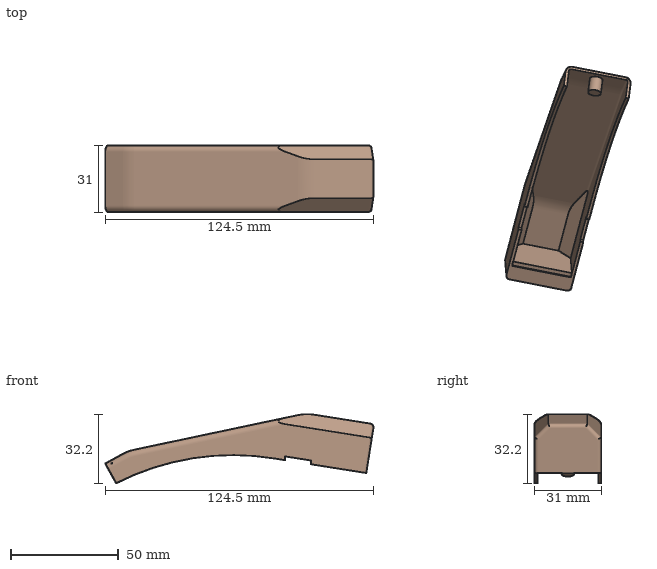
import cadquery as cq
import math

width = 31.0
side_wall = 1.5
roof_wall = 1.4
top_edge_radius = 3.0
inner_edge_radius = 1.0

nose_top = (0, 9.2)
nose_bottom = (5.1, 0)
knee = (10.7, 15.1)
crest = (93.2, 32.5)
knee_radius = 18.1
crest_radius = 20.4
rear_tilt = math.radians(9)
rear_bottom = (121.2, 4.7)
belly_middle = (47.3, 12.5)
belly_end_x = 78.5

rear_edge_radius = 1.9
corner_chamfer = 6.5
rear_block = 9.1
rear_step_depth = 2.0
rear_step_height = 0.7

notch_start_x = 83.5
notch_end_x = 95.4
notch_depth = 1.7

pin_diameter = 6.0
pin_setback = 2.5
pin_length = 8.3

reach = 49.8

rear_along = (math.cos(rear_tilt), -math.sin(rear_tilt))
rear_up = (math.sin(rear_tilt), math.cos(rear_tilt))


def shift(point, direction, distance):
    return (point[0] + direction[0] * distance, point[1] + direction[1] * distance)


def heading(start, end):
    return math.atan2(end[1] - start[1], end[0] - start[0])


def below_corner(corner, angle_in, angle_out, depth):
    """Corner of the roof line moved inward parallel to both its sides."""
    middle = (angle_in + angle_out) / 2
    distance = depth / math.cos((angle_in - angle_out) / 2)
    return shift(corner, (math.sin(middle), -math.cos(middle)), distance)


def extrude_profile(sketch, across):
    return sketch.close().extrude(across / 2, both=True)


def round_at(body, points_and_radii):
    for (x, y, z), radius in points_and_radii:
        body = body.edges(cq.selectors.NearestToPointSelector((x, y, z))).fillet(radius)
    return body


def round_roof(body, knee_point, crest_point, across, inset, edge_radius):
    """Round the knee and crest, then both long edges of the roof."""
    body = round_at(body, [
        ((knee_point[0], 0, knee_point[1]), knee_radius - inset),
        ((crest_point[0], 0, crest_point[1]), crest_radius - inset),
    ])
    middle_x = (knee_point[0] + crest_point[0]) / 2
    middle_z = (knee_point[1] + crest_point[1]) / 2
    return round_at(body, [((middle_x, side * across / 2, middle_z), edge_radius) for side in (-1, 1)])


def chamfer_rear_corners(body, across, roof_corner, leg):
    """Cut both upper corners at 45 degrees, parallel to the rear roof."""
    plane = cq.Plane(
        origin=(roof_corner[0], 0, roof_corner[1]),
        xDir=(0, 1, 0),
        normal=(-rear_along[0], 0, -rear_along[1]),
    )
    for side in (-1, 1):
        edge = side * across / 2
        tool = (
            cq.Workplane(plane)
            .polyline([
                (edge + side * reach, leg + reach),
                (edge - side * (leg + reach), -reach),
                (edge + side * reach, -reach),
            ])
            .close()
            .extrude(2 * reach, both=True)
        )
        body = body.cut(tool)
    return body


nose_angle = heading(nose_top, knee)
middle_angle = heading(knee, crest)
nose_along = (math.cos(nose_angle), math.sin(nose_angle))
rear_height = (crest[0] - rear_bottom[0]) * rear_up[0] + (crest[1] - rear_bottom[1]) * rear_up[1]
rear_top = shift(rear_bottom, rear_up, rear_height)


def rear_underside(x):
    return rear_bottom[1] + (rear_bottom[0] - x) * math.tan(rear_tilt)


outer = extrude_profile(
    cq.Workplane("XZ")
    .moveTo(*nose_bottom)
    .lineTo(*nose_top)
    .lineTo(*knee)
    .lineTo(*crest)
    .lineTo(*rear_top)
    .lineTo(*rear_bottom)
    .lineTo(belly_end_x, rear_underside(belly_end_x))
    .threePointArc(belly_middle, nose_bottom),
    width,
)
outer = round_roof(outer, knee, crest, width, 0, top_edge_radius)
outer = chamfer_rear_corners(outer, width, rear_top, corner_chamfer)
rear_face = outer.faces(cq.selectors.NearestToPointSelector(
    ((rear_top[0] + rear_bottom[0]) / 2, 0, (rear_top[1] + rear_bottom[1]) / 2)
))
outer = rear_face.edges("not <Z").fillet(rear_edge_radius)

cavity_width = width - 2 * side_wall
cavity_knee = below_corner(knee, nose_angle, middle_angle, roof_wall)
cavity_crest = below_corner(crest, middle_angle, -rear_tilt, roof_wall)
cavity_nose = shift(cavity_knee, nose_along, -reach)
cavity_rear_top = shift(shift(rear_top, rear_up, -roof_wall), rear_along, -rear_block)
cavity = extrude_profile(
    cq.Workplane("XZ")
    .moveTo(*cavity_nose)
    .lineTo(*cavity_knee)
    .lineTo(*cavity_crest)
    .lineTo(*cavity_rear_top)
    .lineTo(*shift(cavity_rear_top, rear_up, -reach))
    .lineTo(cavity_nose[0], -reach),
    cavity_width,
)
cavity = round_roof(cavity, cavity_knee, cavity_crest, cavity_width, roof_wall, inner_edge_radius)
cavity_chamfer = corner_chamfer + roof_wall * math.sqrt(2) - roof_wall - side_wall
cavity = chamfer_rear_corners(cavity, cavity_width, cavity_rear_top, cavity_chamfer)

step_corner = shift(shift(rear_bottom, rear_along, -rear_block), rear_up, rear_step_height)
step_lower = shift(step_corner, rear_up, -reach)
body = outer.cut(cavity)
rear_lip = extrude_profile(
    cq.Workplane("XZ").polyline([
        step_corner,
        shift(step_corner, rear_along, rear_step_depth),
        shift(step_lower, rear_along, rear_step_depth),
        step_lower,
    ]),
    cavity_width,
)
body = body.cut(rear_lip)

notch = extrude_profile(
    cq.Workplane("XZ").polyline([
        (notch_start_x, rear_underside(notch_start_x) + notch_depth),
        (notch_end_x, rear_underside(notch_end_x) + notch_depth),
        (notch_end_x, -reach),
        (notch_start_x, -reach),
    ]),
    width,
)
body = body.cut(notch)

nose_down = (math.sin(nose_angle), -math.cos(nose_angle))
pin_axis_top = shift(nose_top, nose_along, pin_setback + pin_diameter / 2)
pin_start = shift(pin_axis_top, nose_down, roof_wall / 2)
pin = cq.Workplane(
    cq.Plane(
        origin=(pin_start[0], 0, pin_start[1]),
        xDir=(0, 1, 0),
        normal=(nose_down[0], 0, nose_down[1]),
    )
).circle(pin_diameter / 2).extrude(pin_length - roof_wall / 2)

result = body.union(pin)